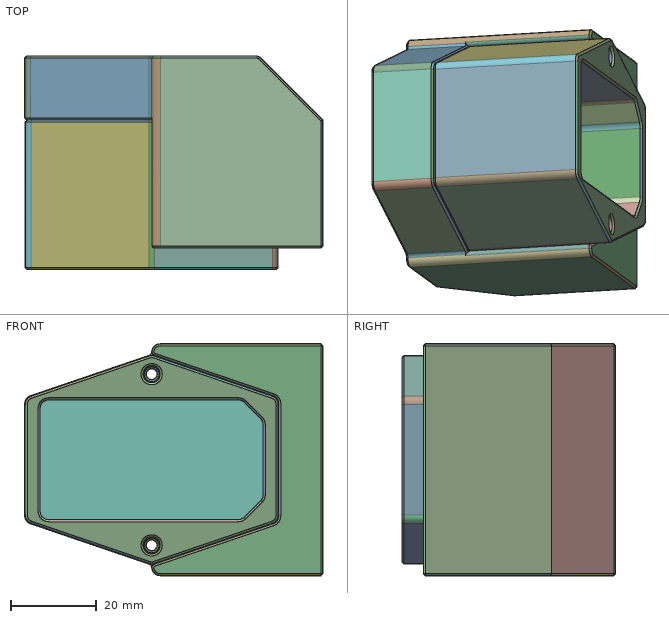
import cadquery as cq
import math

LENGTH = 69.75
HEIGHT = 54.3
SLAB_DEPTH = 15.0
HOUSING_DEPTH = 45.0
REAR_BEVEL = 15.0

HEX_HALF_WIDTH = 29.7
HEX_SIDE_HALF_HEIGHT = 14.5
HEX_APEX_HALF_HEIGHT = 24.6

INSERT_FRONT_DEPTH = 50.0
INSERT_CLEARANCE = 0.15
POCKET_HALF_WIDTH = 26.1
POCKET_HALF_HEIGHT = 14.0
POCKET_BEVEL = 5.0

CORNER_RADIUS = 2.0
TIP_RADIUS = 1.0
EDGE_CHAMFER = 0.5

SCREW_OFFSET = 20.0
HOUSING_HOLE_DIAMETER = 2.5
INSERT_HOLE_DIAMETER = 4.0

HALF_HEIGHT = HEIGHT / 2
ARM_START = HEX_HALF_WIDTH
HEX_RIGHT = 2 * HEX_HALF_WIDTH
HEX_SLOPE = math.atan2(HEX_APEX_HALF_HEIGHT - HEX_SIDE_HALF_HEIGHT, HEX_HALF_WIDTH)
SCREW_POINTS = [(HEX_HALF_WIDTH, SCREW_OFFSET), (HEX_HALF_WIDTH, -SCREW_OFFSET)]
SELECT_MARGIN = 0.7


def plane_at_depth(depth):
    """XZ sketch plane at Y = -depth, from which shapes extrude toward -Y."""
    return cq.Workplane("XZ", origin=(0, -depth, 0))


def edges_in_zone(body, direction, x_range, half_height):
    """Edges in the given direction, centred within an X range and within half_height of Z = 0."""
    zone = cq.selectors.BoxSelector(
        (x_range[0], -HOUSING_DEPTH, -half_height),
        (x_range[1], 0, half_height),
    )
    return body.edges(direction).edges(zone)


def hexagon_outline():
    """Corners of the hexagon, which is symmetric about Z = 0."""
    return [
        (0, -HEX_SIDE_HALF_HEIGHT),
        (HEX_HALF_WIDTH, -HEX_APEX_HALF_HEIGHT),
        (HEX_RIGHT, -HEX_SIDE_HALF_HEIGHT),
        (HEX_RIGHT, HEX_SIDE_HALF_HEIGHT),
        (HEX_HALF_WIDTH, HEX_APEX_HALF_HEIGHT),
        (0, HEX_SIDE_HALF_HEIGHT),
    ]


def drill_screw_holes(body, diameter, front_depth):
    """Cut both screw holes from the given depth to the rear, with chamfered mouths."""
    front = plane_at_depth(front_depth).pushPoints(SCREW_POINTS)
    holes = front.circle(diameter / 2).extrude(-front_depth)
    mouths = front.circle(diameter / 2 + EDGE_CHAMFER).extrude(-EDGE_CHAMFER, taper=45)
    return body.cut(holes).cut(mouths)


def make_slab():
    """Rear slab: the hexagon joined to a full-height rectangle on the right."""
    rectangle = (
        cq.Workplane("XY")
        .box(LENGTH - ARM_START, SLAB_DEPTH, HEIGHT, centered=False)
        .translate((ARM_START, -SLAB_DEPTH, -HALF_HEIGHT))
        .edges("|Y and <X")
        .fillet(CORNER_RADIUS)
    )
    hexagon = plane_at_depth(0).polyline(hexagon_outline()).close().extrude(SLAB_DEPTH)
    slab = rectangle.union(hexagon.edges("|Y and <X").fillet(CORNER_RADIUS))

    near_arm_start = (ARM_START - SELECT_MARGIN, ARM_START + SELECT_MARGIN)
    slab = edges_in_zone(slab, "|Y", near_arm_start, HALF_HEIGHT - CORNER_RADIUS).fillet(TIP_RADIUS)
    return slab.faces("<Y").edges().chamfer(EDGE_CHAMFER)


def point_on_arc(centre, radius, angle):
    return (centre[0] + radius * math.cos(angle), centre[1] + radius * math.sin(angle))


def arm_tip_points():
    """Points of the upper arm tip: two tangent arcs from its top face to its sloping face.

    The large arc is tangent to the top face. The small arc is tangent to the large arc,
    from the inside, and to the slope of the hexagon.
    """
    normal = (math.sin(HEX_SLOPE), math.cos(HEX_SLOPE))
    along = (math.cos(HEX_SLOPE), -math.sin(HEX_SLOPE))
    large = (ARM_START + CORNER_RADIUS, HALF_HEIGHT - CORNER_RADIUS)
    from_apex = (large[0] - HEX_HALF_WIDTH, large[1] - HEX_APEX_HALF_HEIGHT)
    large_to_slope = from_apex[0] * normal[0] + from_apex[1] * normal[1]

    drop = large_to_slope - TIP_RADIUS
    shift = math.sqrt((CORNER_RADIUS - TIP_RADIUS) ** 2 - drop**2)
    small = (
        large[0] - drop * normal[0] - shift * along[0],
        large[1] - drop * normal[1] - shift * along[1],
    )

    top_angle = math.pi / 2
    join_angle = math.atan2(small[1] - large[1], small[0] - large[0]) % (2 * math.pi)
    slope_angle = 1.5 * math.pi - HEX_SLOPE
    return [
        point_on_arc(large, CORNER_RADIUS, top_angle),
        point_on_arc(large, CORNER_RADIUS, (top_angle + join_angle) / 2),
        point_on_arc(large, CORNER_RADIUS, join_angle),
        point_on_arc(small, TIP_RADIUS, (join_angle + slope_angle) / 2),
        point_on_arc(small, TIP_RADIUS, slope_angle),
    ]


def make_arms():
    """C-shaped block whose two arms wrap around the right half of the insert."""
    upper_tip = arm_tip_points()
    lower_tip = [(x, -z) for x, z in reversed(upper_tip)]
    arms = (
        plane_at_depth(0)
        .moveTo(LENGTH, -HALF_HEIGHT)
        .lineTo(LENGTH, HALF_HEIGHT)
        .lineTo(*upper_tip[0])
        .threePointArc(upper_tip[1], upper_tip[2])
        .threePointArc(upper_tip[3], upper_tip[4])
        .lineTo(HEX_RIGHT, HEX_SIDE_HALF_HEIGHT)
        .lineTo(HEX_RIGHT, -HEX_SIDE_HALF_HEIGHT)
        .lineTo(*lower_tip[0])
        .threePointArc(lower_tip[1], lower_tip[2])
        .threePointArc(lower_tip[3], lower_tip[4])
        .close()
        .extrude(HOUSING_DEPTH)
    )
    near_socket_end = (HEX_RIGHT - SELECT_MARGIN, HEX_RIGHT + SELECT_MARGIN)
    socket_corners = edges_in_zone(arms, "|Y", near_socket_end, HEX_SIDE_HALF_HEIGHT + SELECT_MARGIN)
    return socket_corners.fillet(CORNER_RADIUS)


def make_housing():
    """Slab and arms in one piece, bevelled at the rear right, with chamfered rims."""
    body = make_slab().union(make_arms())
    body = body.edges("|Z and >X and >Y").chamfer(REAR_BEVEL)

    rims = body.faces("<Y or >Y").edges()
    right_side = (LENGTH - REAR_BEVEL + SELECT_MARGIN, LENGTH + SELECT_MARGIN)
    rims = rims.add(edges_in_zone(body.faces(">Z or <Z"), None, right_side, HEIGHT))
    body = rims.chamfer(EDGE_CHAMFER)
    return drill_screw_holes(body, HOUSING_HOLE_DIAMETER, SLAB_DEPTH)


def make_pocket(depth):
    """Rounded rectangular cutter with bevelled right corners."""
    return (
        plane_at_depth(SLAB_DEPTH)
        .center(HEX_HALF_WIDTH, 0)
        .rect(2 * POCKET_HALF_WIDTH, 2 * POCKET_HALF_HEIGHT)
        .extrude(depth)
        .edges("|Y and >X")
        .chamfer(POCKET_BEVEL)
        .edges("|Y")
        .fillet(CORNER_RADIUS)
    )


def make_insert():
    """Hexagonal block with a through pocket and two screw holes."""
    depth = INSERT_FRONT_DEPTH - SLAB_DEPTH
    body = (
        plane_at_depth(SLAB_DEPTH)
        .polyline(hexagon_outline())
        .close()
        .offset2D(-INSERT_CLEARANCE, "intersection")
        .extrude(depth)
        .edges("|Y")
        .fillet(CORNER_RADIUS)
    )
    body = body.faces(">Y").edges().chamfer(EDGE_CHAMFER)
    body = body.cut(make_pocket(depth))
    body = body.faces("<Y").edges().chamfer(EDGE_CHAMFER)
    return drill_screw_holes(body, INSERT_HOLE_DIAMETER, INSERT_FRONT_DEPTH)


housing = make_housing()
insert = make_insert()
result = cq.Compound.makeCompound([housing.solids().val(), insert.solids().val()])